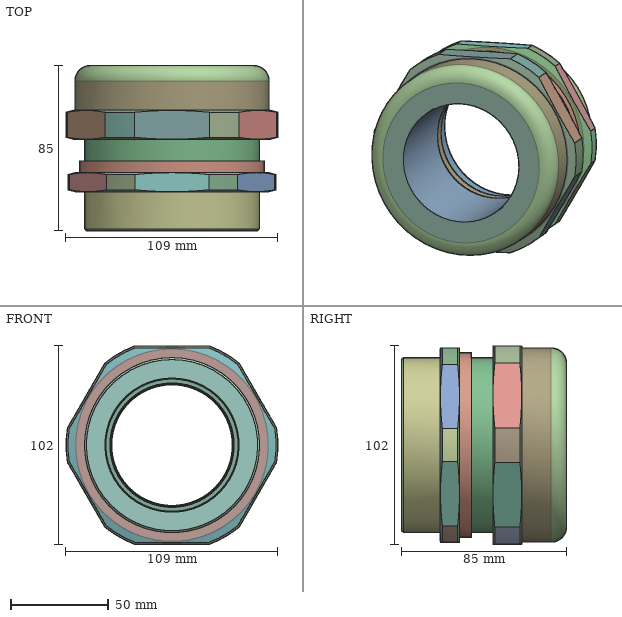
import cadquery as cq
import math

LENGTH = 85.0

LOCK_HEX_START = 20.0
LOCK_HEX_END = 30.0
COLLAR_END = 36.0
CAP_HEX_START = 47.0
CAP_HEX_END = 62.0

THREAD_DIAMETER = 90.0
THREAD_CHAMFER = 1.0
COLLAR_DIAMETER = 95.0
CAP_DIAMETER = 100.0
CAP_FILLET = 8.0

HEX_SIDES = 6
LOCK_HEX_FLATS = 100.0
LOCK_HEX_CORNERS = 107.0
CAP_HEX_FLATS = 102.0
CAP_HEX_CORNERS = 109.0
BEVEL_ANGLE = 15.0
BEVEL_INSET = 1.0

ENTRY_DIAMETER = 68.0
ENTRY_CHAMFER = 0.5
ENTRY_DEPTH = 15.0
STEP_DIAMETER = 63.0
STEP_CHAMFER = 0.5
STEP_END = 23.0
THROAT_DIAMETER = 62.0


def revolve_profile(points):
    """Revolve a closed outline of (radius, station) points about the Y axis."""
    outline = [(station, radius) for radius, station in points]
    return cq.Workplane("YZ").polyline(outline).close().revolve(360, (0, 0, 0), (1, 0, 0))


def cylinder(diameter, start, end):
    """Solid cylinder on the Y axis between two stations."""
    radius = diameter / 2
    return revolve_profile([(0, start), (radius, start), (radius, end), (0, end)])


def hexagon(flats, corners, start, end):
    """Hexagon with flats facing up and down, turned and bevelled at its corners."""
    plane = cq.Plane(origin=(0, start, 0), xDir=(1, 0, 0), normal=(0, 1, 0))
    point_diameter = flats / math.cos(math.pi / HEX_SIDES)
    prism = cq.Workplane(plane).polygon(HEX_SIDES, point_diameter).extrude(end - start)

    corner_radius = corners / 2
    face_radius = (flats - BEVEL_INSET) / 2
    bevel = (corner_radius - face_radius) * math.tan(math.radians(BEVEL_ANGLE))
    turned_blank = revolve_profile([
        (0, start),
        (face_radius, start),
        (corner_radius, start + bevel),
        (corner_radius, end - bevel),
        (face_radius, end),
        (0, end),
    ])
    return prism.intersect(turned_blank)


def body():
    """Threaded barrel with its collar and fixed hexagon."""
    barrel = cylinder(THREAD_DIAMETER, 0, CAP_HEX_START).faces("<Y").chamfer(THREAD_CHAMFER)
    lock_hex = hexagon(LOCK_HEX_FLATS, LOCK_HEX_CORNERS, LOCK_HEX_START, LOCK_HEX_END)
    collar = cylinder(COLLAR_DIAMETER, LOCK_HEX_END, COLLAR_END)
    return barrel.union(lock_hex).union(collar)


def cap():
    """Rounded cap with its hexagon."""
    cap_hex = hexagon(CAP_HEX_FLATS, CAP_HEX_CORNERS, CAP_HEX_START, CAP_HEX_END)
    dome = cylinder(CAP_DIAMETER, CAP_HEX_END, LENGTH).faces(">Y").edges().fillet(CAP_FILLET)
    return cap_hex.union(dome)


def bore():
    """Stepped through passage, with 45-degree chamfers at the entry, step and throat."""
    entry_radius = ENTRY_DIAMETER / 2
    step_radius = STEP_DIAMETER / 2
    throat_radius = THROAT_DIAMETER / 2
    throat_chamfer = step_radius - throat_radius
    return revolve_profile([
        (0, 0),
        (entry_radius + ENTRY_CHAMFER, 0),
        (entry_radius, ENTRY_CHAMFER),
        (entry_radius, ENTRY_DEPTH),
        (step_radius + STEP_CHAMFER, ENTRY_DEPTH),
        (step_radius, ENTRY_DEPTH + STEP_CHAMFER),
        (step_radius, STEP_END),
        (throat_radius, STEP_END + throat_chamfer),
        (throat_radius, LENGTH),
        (0, LENGTH),
    ])


centred_offset = (0, -LENGTH / 2, 0)
result = body().union(cap()).cut(bore()).translate(centred_offset)